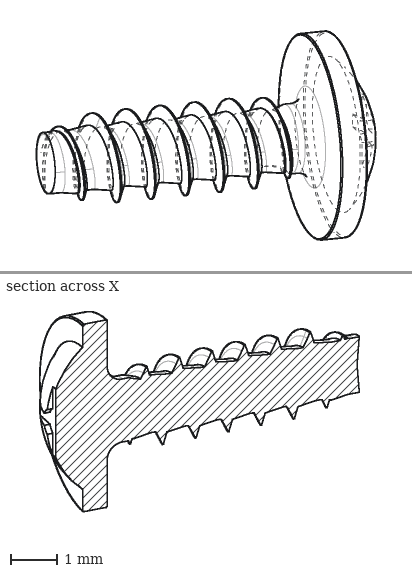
import cadquery as cq
import math


COLLAR_RADIUS = 2.25
COLLAR_HEIGHT = 0.6
COLLAR_EDGE = 0.03
DOME_BASE_RADIUS = 1.7
DOME_SPHERE_RADIUS = 2.216

HEAD_HEIGHT = 1.37
RECESS_DEPTH = 0.135
SLOT_WIDTH = 0.29

SHANK_LENGTH = 6.0
NECK_RADIUS = 0.76
NECK_FILLET = 0.35
NECK_LENGTH = 0.5
NECK_TAPER_END = 0.79
CORE_RADIUS = 0.67
TIP_DISH_RADIUS = 0.635
TIP_DISH_DEPTH = 0.05

PITCH = 0.78
CREST_DEPTH_ON_X = 0.735
CREST_RADIUS = 1.0
CREST_WIDTH = 0.03
START_DEPTH = NECK_LENGTH
START_CREST_RADIUS = 0.83
FULL_DEPTH = 1.2
FADE_DEPTH = 4.81
BACK_BASE = 0.18
BACK_KNEE = 0.075
BACK_KNEE_RADIUS = 0.87
FRONT_BASE = 0.10
ROOT_HIGH_RADIUS = 0.73
ROOT_SLOPE_END = 0.5
ROOT_FADE_DEPTH = 5.22
ROOT_END = 5.8
EMBED = 0.12
THREAD_END = SHANK_LENGTH + BACK_BASE
AXIS = cq.Vector(0, 0, 1)
CYLINDER_ANGLE = 360

DOME_CENTRE = COLLAR_HEIGHT - math.sqrt(DOME_SPHERE_RADIUS**2 - DOME_BASE_RADIUS**2)
DOME_APEX = DOME_CENTRE + DOME_SPHERE_RADIUS
FILLET_SAG = NECK_FILLET * (1 - math.sqrt(0.5))


def dome_radius_at(y):
    return math.sqrt(DOME_SPHERE_RADIUS**2 - (y - DOME_CENTRE) ** 2)


def revolved_body():
    """Head, neck and core as one turned profile."""
    dome_mid_height = (COLLAR_HEIGHT + DOME_APEX) / 2
    dome_mid = (dome_radius_at(dome_mid_height), dome_mid_height)
    fillet_mid = (NECK_RADIUS + FILLET_SAG, -FILLET_SAG)
    return (
        cq.Workplane("XY")
        .moveTo(0, DOME_APEX)
        .threePointArc(dome_mid, (DOME_BASE_RADIUS, COLLAR_HEIGHT))
        .lineTo(COLLAR_RADIUS - COLLAR_EDGE, COLLAR_HEIGHT)
        .lineTo(COLLAR_RADIUS, COLLAR_HEIGHT - COLLAR_EDGE)
        .lineTo(COLLAR_RADIUS, COLLAR_EDGE)
        .lineTo(COLLAR_RADIUS - COLLAR_EDGE, 0)
        .lineTo(NECK_RADIUS + NECK_FILLET, 0)
        .threePointArc(fillet_mid, (NECK_RADIUS, -NECK_FILLET))
        .lineTo(NECK_RADIUS, -NECK_LENGTH)
        .lineTo(CORE_RADIUS, -NECK_TAPER_END)
        .lineTo(CORE_RADIUS, -SHANK_LENGTH)
        .lineTo(0, -SHANK_LENGTH)
        .close()
        .revolve(360, (0, 0, 0), (0, 1, 0))
    )


def drive_recess():
    """Cross slot and round pocket, sharing one flat floor."""
    floor = HEAD_HEIGHT - RECESS_DEPTH
    plane = cq.Workplane("XZ", origin=(0, floor, 0))
    height = -(DOME_APEX - floor)
    length = 2 * DOME_BASE_RADIUS
    pocket = plane.circle(dome_radius_at(HEAD_HEIGHT)).extrude(height)
    slot_x = plane.rect(length, SLOT_WIDTH).extrude(height)
    slot_z = plane.rect(SLOT_WIDTH, length).extrude(height)
    return pocket.union(slot_x).union(slot_z)


def helical_body(section, start, end, start_shift=0.0, end_shift=0.0):
    """Solid swept by (radius, axial) section points from one crest depth to another.

    The shifts move the section radially at either end, so that the crest can
    rise or sink along the way. The screw axis is Z here, tip towards +Z.
    """
    length = end - start
    rise = end_shift - start_shift
    stretch = math.hypot(length, rise) / length
    cone_angle = math.degrees(math.atan2(rise, length)) if rise else CYLINDER_ANGLE

    def corner_helix(radius, axial):
        first_radius = radius + start_shift
        return cq.Wire.makeHelix(
            PITCH * stretch, length * stretch, first_radius, cq.Vector(0, 0, axial), angle=cone_angle
        ).Edges()[0]

    helices = [corner_helix(radius, axial) for radius, axial in section]
    neighbours = zip(helices, helices[1:] + helices[:1])
    flanks = [cq.Face.makeRuledSurface(first, second) for first, second in neighbours]
    first_end = cq.Wire.makePolygon([helix.startPoint() for helix in helices], close=True)
    last_end = cq.Wire.makePolygon([helix.endPoint() for helix in helices], close=True)
    ends = [cq.Face.makeFromWires(first_end), cq.Face.makeFromWires(last_end)]
    body = cq.Solid.makeSolid(cq.Shell.makeShell(flanks + ends)).fix()
    turn = 360 * (start - CREST_DEPTH_ON_X) / PITCH
    return body.translate(AXIS * start).rotate(cq.Vector(), AXIS, turn)


def sloped_root():
    """Root between the turns, sloping from the ridge to the core; it fades out near the tip."""
    inner = CORE_RADIUS - EMBED
    section = [
        (inner, 0),
        (CORE_RADIUS, 0),
        (ROOT_HIGH_RADIUS, FRONT_BASE),
        (CORE_RADIUS, ROOT_SLOPE_END),
        (inner, ROOT_SLOPE_END),
    ]
    end_shift = CORE_RADIUS - ROOT_HIGH_RADIUS
    return [
        helical_body(section, START_DEPTH, ROOT_FADE_DEPTH),
        helical_body(section, ROOT_FADE_DEPTH, ROOT_END, 0, end_shift),
    ]


def ridge():
    """The cutting ridge: rising at the neck, full, then sinking at the tip."""
    inner = CORE_RADIUS - EMBED
    back_slope = (BACK_BASE - BACK_KNEE) / (BACK_KNEE_RADIUS - CORE_RADIUS)
    back_reach = BACK_BASE + EMBED * back_slope
    section = [
        (inner, -back_reach),
        (BACK_KNEE_RADIUS, -BACK_KNEE),
        (CREST_RADIUS, -CREST_WIDTH / 2),
        (CREST_RADIUS, CREST_WIDTH / 2),
        (ROOT_HIGH_RADIUS, FRONT_BASE),
        (inner, FRONT_BASE),
    ]
    start_shift = START_CREST_RADIUS - CREST_RADIUS
    fade_slope = (CORE_RADIUS - CREST_RADIUS) / (SHANK_LENGTH - FADE_DEPTH)
    end_shift = fade_slope * (THREAD_END - FADE_DEPTH)
    return [
        helical_body(section, START_DEPTH, FULL_DEPTH, start_shift, 0),
        helical_body(section, FULL_DEPTH, FADE_DEPTH),
        helical_body(section, FADE_DEPTH, THREAD_END, 0, end_shift),
    ]


def thread():
    """Root and ridge, trimmed square at the neck and the tip, laid along -Y."""
    trim = cq.Workplane("XY", origin=(0, 0, NECK_LENGTH)).circle(2 * CREST_RADIUS)
    trim = trim.extrude(SHANK_LENGTH - NECK_LENGTH)
    bodies = cq.Workplane()
    for part in sloped_root() + ridge():
        bodies = bodies.union(cq.Workplane(obj=part))
    return bodies.intersect(trim).rotate((0, 0, 0), (1, 0, 0), 90)


def tip_dish():
    """Shallow cone sunk into the tip face."""
    return (
        cq.Workplane("XY")
        .moveTo(0, -SHANK_LENGTH)
        .lineTo(TIP_DISH_RADIUS, -SHANK_LENGTH)
        .lineTo(0, TIP_DISH_DEPTH - SHANK_LENGTH)
        .close()
        .revolve(360, (0, 0, 0), (0, 1, 0))
    )


result = revolved_body().union(thread()).cut(drive_recess()).cut(tip_dish())